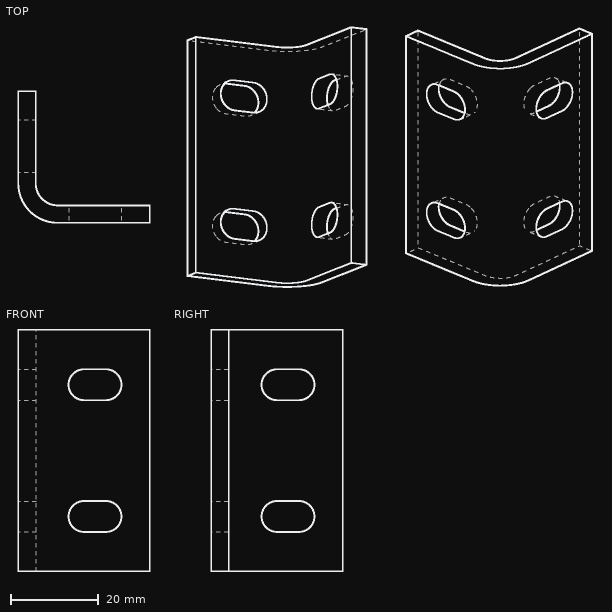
import cadquery as cq

height = 55.0
leg_length = 30.0
thickness = 4.0
inner_bend_radius = 5.0
outer_bend_radius = inner_bend_radius + thickness

slot_length = 12.0
slot_width = 7.0
slot_from_corner = 17.5
slot_spacing = 30.0


def bent_plate():
    """L-shaped plate with its outer corner on the Z axis and legs along +X and +Y."""
    outer = cq.Workplane("XY").rect(leg_length, leg_length, centered=False).extrude(height)
    outer = outer.edges("|Z and <X and <Y").fillet(outer_bend_radius)

    inner_size = leg_length - thickness
    inner = (
        cq.Workplane("XY")
        .center(thickness, thickness)
        .rect(inner_size, inner_size, centered=False)
        .extrude(height)
    )
    inner = inner.edges("|Z and <X and <Y").fillet(inner_bend_radius)
    return outer.cut(inner)


def slot_pair(plane, depth):
    """Two horizontal slots, one above the other, centred on the plate height."""
    slot_heights = [height / 2 + side * slot_spacing / 2 for side in (-1, 1)]
    return (
        cq.Workplane(plane)
        .pushPoints([(slot_from_corner, z) for z in slot_heights])
        .slot2D(slot_length, slot_width)
        .extrude(depth)
    )


x_leg_slots = slot_pair("XZ", -thickness)
y_leg_slots = slot_pair("YZ", thickness)

result = bent_plate().cut(x_leg_slots).cut(y_leg_slots)